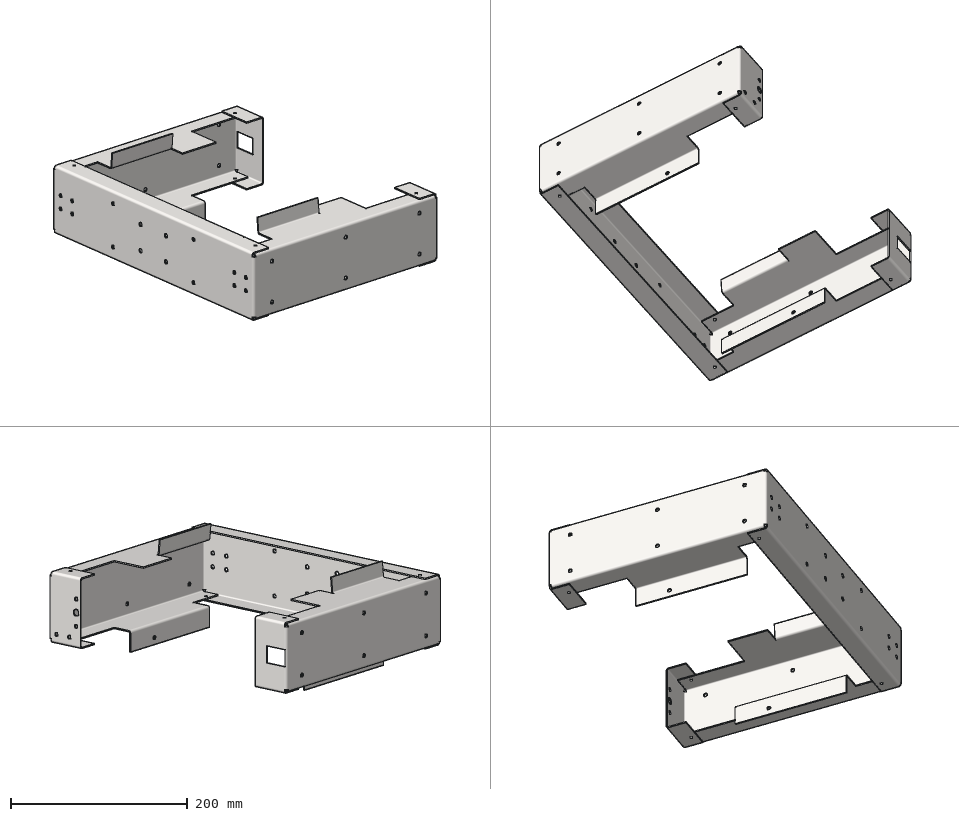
import math

import cadquery as cq

THICKNESS = 1.6
BEND_RADIUS = 3.2
INNER_RADIUS = BEND_RADIUS - THICKNESS

FRAME_WIDTH = 350.0
FRAME_DEPTH = 275.0
FRAME_HEIGHT = 83.2
HALF_WIDTH = FRAME_WIDTH / 2
SIDE_HEIGHT = FRAME_HEIGHT - 2 * THICKNESS
END_FLANGE = 25.0
SIDE_FLANGE = 23.4
REAR_WALL_WIDTH = 46.4

SHELF_FRONT = 47.25
SHELF_LENGTH = 140.0
PLATFORM_LENGTH = 50.0
PLATFORM_WIDTH = 66.25
LIP_LENGTH = SHELF_LENGTH - PLATFORM_LENGTH
LIP_BEND_START = 44.9
LIP_BEND_ANGLE = 85.0
APRON_BEND_ANGLE = 90.0
APRON_FACE = 47.75
APRON_BEND_START = APRON_FACE - BEND_RADIUS
LIP_TOP = 58.44
OVERALL_HEIGHT = 121.89
APRON_BOTTOM = LIP_TOP - OVERALL_HEIGHT

SCREW_DIAMETER = 4.5
FLANGE_HOLE_DIAMETER = 3.3
CENTRE_HOLE_DIAMETER = 5.0
CABLE_HOLE_DIAMETER = 8.0
FLANGE_HOLE_INSET = 17.5
OUTER_PATTERN = (70.0, 26.5)
CENTRE_PATTERN = (22.0, 16.0)
END_HOLE_COLUMNS = (141.0, 161.0)
END_HOLE_Z = 8.0
SIDE_HOLE_PITCH = 110.0
SIDE_HOLE_Z = 25.0
APRON_HOLE_Y = 145.0
APRON_HOLE_Z = -55.0

CABLE_HOLE_X = 135.0
CABLE_SCREW_Z = 16.0
LOWER_SCREW_COLUMNS = (145.0, 164.0)
LOWER_SCREW_Z = -30.5
WINDOW_WIDTH = 27.0
WINDOW_HEIGHT = 20.0
WINDOW_INSET = 2.5


def channel(length, height, flange):
    """C-shaped channel along +X from x = 0: web on y = 0, flanges toward +Y."""
    outer = cq.Workplane("XY").box(length, flange, height, centered=(False, False, True))
    outer = outer.edges("|X and <Y").fillet(BEND_RADIUS)
    inner = cq.Workplane("XY").box(
        length, flange, height - 2 * THICKNESS, centered=(False, False, True)
    )
    inner = inner.edges("|X and <Y").fillet(INNER_RADIUS)
    return outer.cut(inner.translate((0, THICKNESS, 0)))


def corner_bend(y_centre, toward_rear):
    """Quarter-round vertical bend joining the left wall to the front or rear wall."""
    height = SIDE_HEIGHT - 2 * BEND_RADIUS
    x_centre = -HALF_WIDTH + BEND_RADIUS
    ring = (
        cq.Workplane("XY")
        .circle(BEND_RADIUS)
        .circle(INNER_RADIUS)
        .extrude(height / 2, both=True)
    )
    quarter = cq.Workplane("XY").box(
        BEND_RADIUS, BEND_RADIUS, height, centered=(False, False, True)
    )
    quarter = quarter.translate((-BEND_RADIUS, 0 if toward_rear else -BEND_RADIUS, 0))
    return ring.intersect(quarter).translate((x_centre, y_centre, 0))


def bent_edge(x_start, z_surface, bend_angle, reach, up, y_front, length):
    """Bend and straight leg turning out of a flange whose outer surface is at z_surface."""
    turn = math.radians(bend_angle)
    sense = 1 if up else -1

    def point(radius, angle, along=0.0):
        x = radius * math.sin(angle) + along * math.cos(angle)
        z = INNER_RADIUS - radius * math.cos(angle) + along * math.sin(angle)
        return (x_start + x, z_surface + sense * z)

    leg = (reach - INNER_RADIUS + INNER_RADIUS * math.cos(turn)) / math.sin(turn)
    profile = (
        cq.Workplane("XZ")
        .moveTo(*point(INNER_RADIUS, 0))
        .threePointArc(point(INNER_RADIUS, turn / 2), point(INNER_RADIUS, turn))
        .lineTo(*point(INNER_RADIUS, turn, leg))
        .lineTo(*point(BEND_RADIUS, turn, leg))
        .lineTo(*point(BEND_RADIUS, turn))
        .threePointArc(point(BEND_RADIUS, turn / 2), point(BEND_RADIUS, 0))
        .close()
    )
    return profile.extrude(-length).translate((0, y_front, 0))


def shelf_plate(width, y_front, length, z_bottom):
    """Flat plate that widens a left side flange to the given distance from the wall."""
    plate = cq.Workplane("XY").box(
        width - SIDE_FLANGE, length, THICKNESS, centered=False
    )
    return plate.translate((-HALF_WIDTH + SIDE_FLANGE, y_front, z_bottom))


def left_side():
    """Left wall with its flanges, shelves, lip, apron, corner bends and rear wall."""
    straight = FRAME_DEPTH - 2 * BEND_RADIUS
    side = channel(straight, SIDE_HEIGHT, SIDE_FLANGE)
    side = side.rotate((0, 0, 0), (0, 0, 1), -90)
    side = side.translate((-HALF_WIDTH, FRAME_DEPTH - BEND_RADIUS, 0))

    rear = channel(REAR_WALL_WIDTH - BEND_RADIUS, FRAME_HEIGHT, END_FLANGE)
    rear = rear.mirror("XZ").translate((-HALF_WIDTH + BEND_RADIUS, FRAME_DEPTH, 0))

    top = SIDE_HEIGHT / 2
    x_lip = -HALF_WIDTH + LIP_BEND_START
    x_apron = -HALF_WIDTH + APRON_BEND_START
    apron_reach = -top - APRON_BOTTOM
    y_platform = SHELF_FRONT + LIP_LENGTH
    pieces = [
        rear,
        corner_bend(BEND_RADIUS, toward_rear=False),
        corner_bend(FRAME_DEPTH - BEND_RADIUS, toward_rear=True),
        shelf_plate(PLATFORM_WIDTH, y_platform, PLATFORM_LENGTH, top - THICKNESS),
        shelf_plate(LIP_BEND_START, SHELF_FRONT, LIP_LENGTH, top - THICKNESS),
        bent_edge(x_lip, top, LIP_BEND_ANGLE, LIP_TOP - top, True, SHELF_FRONT, LIP_LENGTH),
        shelf_plate(APRON_BEND_START, SHELF_FRONT, SHELF_LENGTH, -top),
        bent_edge(x_apron, -top, APRON_BEND_ANGLE, apron_reach, False, SHELF_FRONT, SHELF_LENGTH),
    ]
    for piece in pieces:
        side = side.union(piece)
    return side


def four_corners(half_x, half_z):
    """The four points at plus and minus the given half spacings."""
    return [(sx * half_x, sz * half_z) for sx in (-1, 1) for sz in (-1, 1)]


def drill_along_y(points, diameter, y_start):
    """Cutters through one wall thickness at (x, z) points, starting at y_start."""
    cutters = cq.Workplane("XZ").pushPoints(points).circle(diameter / 2).extrude(-THICKNESS)
    return cutters.translate((0, y_start, 0))


def drill_across(points, diameter):
    """Cutters through the whole frame width at (y, z) points."""
    return cq.Workplane("YZ").pushPoints(points).circle(diameter / 2).extrude(HALF_WIDTH, both=True)


def drill_vertical(points, diameter):
    """Cutters through the whole frame height at (x, y) points."""
    return cq.Workplane("XY").pushPoints(points).circle(diameter / 2).extrude(FRAME_HEIGHT, both=True)


def cut_front_holes(body):
    """Screw holes through the front wall."""
    screw_points = four_corners(*OUTER_PATTERN)
    for column in END_HOLE_COLUMNS:
        screw_points += four_corners(column, END_HOLE_Z)
    body = body.cut(drill_along_y(screw_points, SCREW_DIAMETER, 0))
    return body.cut(drill_along_y(four_corners(*CENTRE_PATTERN), CENTRE_HOLE_DIAMETER, 0))


def cut_side_holes(body):
    """Holes through both side walls and both aprons."""
    middle = FRAME_DEPTH / 2
    points = [(APRON_HOLE_Y, APRON_HOLE_Z)]
    for y in (middle - SIDE_HOLE_PITCH, middle, middle + SIDE_HOLE_PITCH):
        points += [(y, -SIDE_HOLE_Z), (y, SIDE_HOLE_Z)]
    return body.cut(drill_across(points, SCREW_DIAMETER))


def cut_flange_holes(body):
    """Holes at the four corners, through the overlapping flanges at top and bottom."""
    x = HALF_WIDTH - FLANGE_HOLE_INSET
    points = []
    for y in (FLANGE_HOLE_INSET, FRAME_DEPTH - FLANGE_HOLE_INSET):
        points += [(-x, y), (x, y)]
    return body.cut(drill_vertical(points, FLANGE_HOLE_DIAMETER))


def cut_rear_openings(body):
    """Cable hole and screw holes in the right rear wall, socket window in the left one."""
    y_wall = FRAME_DEPTH - THICKNESS
    screw_points = [(CABLE_HOLE_X, -CABLE_SCREW_Z), (CABLE_HOLE_X, CABLE_SCREW_Z)]
    screw_points += [(x, LOWER_SCREW_Z) for x in LOWER_SCREW_COLUMNS]
    body = body.cut(drill_along_y(screw_points, SCREW_DIAMETER, y_wall))
    body = body.cut(drill_along_y([(CABLE_HOLE_X, 0)], CABLE_HOLE_DIAMETER, y_wall))

    window = cq.Workplane("XY").box(
        WINDOW_WIDTH, BEND_RADIUS, WINDOW_HEIGHT, centered=(False, False, True)
    )
    return body.cut(window.translate((-HALF_WIDTH + WINDOW_INSET, FRAME_DEPTH - BEND_RADIUS, 0)))


left = left_side()
front = channel(FRAME_WIDTH - 2 * BEND_RADIUS, FRAME_HEIGHT, END_FLANGE)
front = front.translate((-HALF_WIDTH + BEND_RADIUS, 0, 0))
frame = front.union(left).union(left.mirror("YZ"))
frame = cut_front_holes(frame)
frame = cut_side_holes(frame)
frame = cut_flange_holes(frame)
result = cut_rear_openings(frame)